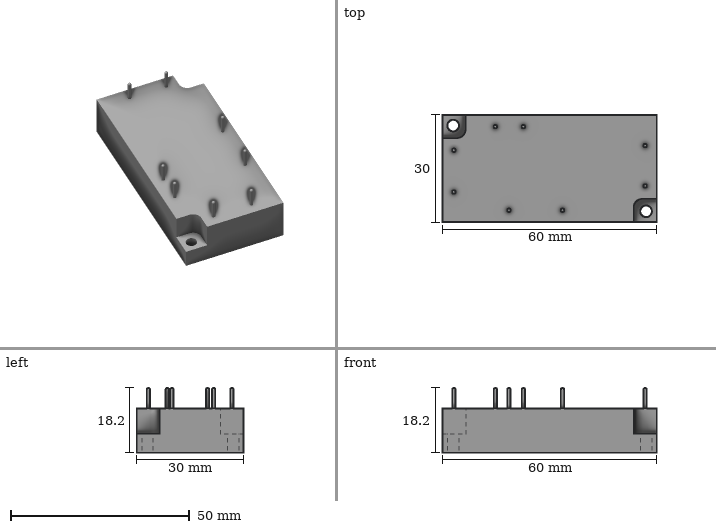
import cadquery as cq

LENGTH = 60.0
WIDTH = 30.0
BODY_HEIGHT = 12.5
LEDGE_HEIGHT = 5.4
NOTCH_SIZE = 6.5
NOTCH_RADIUS = 2.5

HOLE_DIAMETER = 3.2
HOLE_EDGE_DISTANCE = 3.0

RIM_WIDTH = 0.3
POTTING_DEPTH = 1.0
POTTING_CORNER_RADIUS = 2.0
POTTING_NOTCH_RADIUS = NOTCH_RADIUS + RIM_WIDTH

TOTAL_HEIGHT = 18.2
PIN_DIAMETER = 1.0
LEFT_PIN_X = -26.8
RIGHT_PIN_X = 26.75
BACK_PIN_Y = 11.7
FRONT_PIN_Y = -11.7
PIN_CENTRES = [
    (LEFT_PIN_X, 5.1),
    (LEFT_PIN_X, -6.6),
    (RIGHT_PIN_X, 6.4),
    (RIGHT_PIN_X, -4.9),
    (-15.2, BACK_PIN_Y),
    (-7.35, BACK_PIN_Y),
    (-11.4, FRONT_PIN_Y),
    (3.6, FRONT_PIN_Y),
]

STEPPED_CORNERS = [(-1, 1), (1, -1)]


def notched_plan(inset, notch_radius, z_bottom, height):
    """Prism of the rectangle without its two stepped corners, shrunk by the inset all round."""
    plan = cq.Workplane("XY", origin=(0, 0, z_bottom))
    prism = plan.rect(LENGTH - 2 * inset, WIDTH - 2 * inset).extrude(height)
    cutter_side = 2 * (NOTCH_SIZE + inset)
    for side_x, side_y in STEPPED_CORNERS:
        cutter = (
            plan.center(side_x * LENGTH / 2, side_y * WIDTH / 2)
            .rect(cutter_side, cutter_side)
            .extrude(height)
            .edges("|Z")
            .fillet(notch_radius)
        )
        prism = prism.cut(cutter)
    return prism


def case():
    """Full rectangle up to the ledges, notched outline above them."""
    base = cq.Workplane("XY").box(LENGTH, WIDTH, LEDGE_HEIGHT, centered=(True, True, False))
    upper = notched_plan(0, NOTCH_RADIUS, LEDGE_HEIGHT, BODY_HEIGHT - LEDGE_HEIGHT)
    return base.union(upper)


def mounting_holes():
    hole_x = LENGTH / 2 - HOLE_EDGE_DISTANCE
    hole_y = WIDTH / 2 - HOLE_EDGE_DISTANCE
    centres = [(side_x * hole_x, side_y * hole_y) for side_x, side_y in STEPPED_CORNERS]
    return cq.Workplane("XY").pushPoints(centres).circle(HOLE_DIAMETER / 2).extrude(LEDGE_HEIGHT)


def potting():
    """Fill following the notched outline, with its outward corners rounded."""
    floor = BODY_HEIGHT - POTTING_DEPTH
    fill = notched_plan(RIM_WIDTH, POTTING_NOTCH_RADIUS, floor, POTTING_DEPTH)
    outer_x = LENGTH / 2 - RIM_WIDTH
    outer_y = WIDTH / 2 - RIM_WIDTH
    notch_x = LENGTH / 2 - NOTCH_SIZE - RIM_WIDTH
    notch_y = WIDTH / 2 - NOTCH_SIZE - RIM_WIDTH
    corners = [(-outer_x, -outer_y), (outer_x, outer_y)]
    for side_x, side_y in STEPPED_CORNERS:
        corners.append((side_x * outer_x, side_y * notch_y))
        corners.append((side_x * notch_x, side_y * outer_y))
    for x, y in corners:
        nearest_corner = cq.selectors.NearestToPointSelector((x, y, floor + POTTING_DEPTH / 2))
        fill = fill.edges("|Z").edges(nearest_corner).fillet(POTTING_CORNER_RADIUS)
    return fill


def pin(x, y):
    """Upright round pin standing on the top face, ending in a hemisphere."""
    radius = PIN_DIAMETER / 2
    length = TOTAL_HEIGHT - BODY_HEIGHT
    shank = cq.Workplane("XY").circle(radius).extrude(length - radius)
    tip = cq.Workplane("XY").sphere(radius).translate((0, 0, length - radius))
    return shank.union(tip).translate((x, y, BODY_HEIGHT))


filling = potting()
result = case().cut(mounting_holes()).cut(filling)
result = result.union(filling, clean=False)
for pin_x, pin_y in PIN_CENTRES:
    result = result.union(pin(pin_x, pin_y), clean=False)